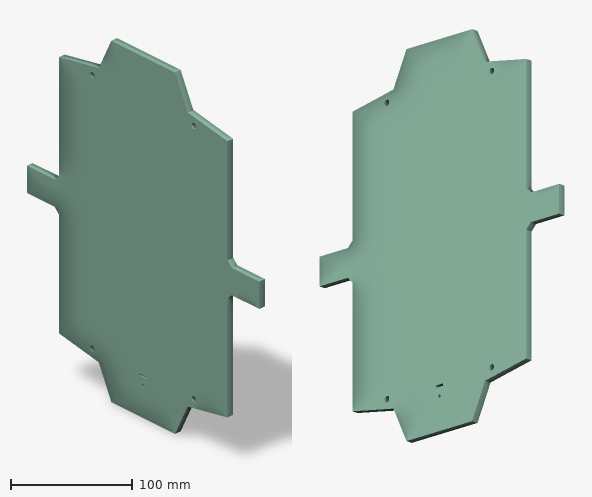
import cadquery as cq

length = 340.0
thickness = 6.5
half_length = length / 2

body_half_width = 100.0
shoulder_z = 130.0
neck_half_width = 52.7
neck_z = 138.5
end_half_width = 37.7

tab_tip_x = 275.5 / 2
tab_half_height = 13.0
tab_chamfer = 5.0

mount_hole_diameter = 5.5
mount_hole_x = 60.2
mount_hole_z = 128.5
slot_width = 8.0
slot_height = 2.0
slot_z = -130.5
pin_hole_diameter = 3.0
pin_hole_z = -139.7


def centred_plate(sketch):
    """Extrude an XZ sketch evenly to both sides of the mid-plane."""
    return sketch.extrude(thickness / 2, both=True)


def make_plate():
    quarter = [
        (end_half_width, half_length),
        (neck_half_width, neck_z),
        (body_half_width, shoulder_z),
        (body_half_width, tab_half_height + tab_chamfer),
        (body_half_width + tab_chamfer, tab_half_height),
        (tab_tip_x, tab_half_height),
    ]
    right_side = quarter + [(x, -z) for x, z in reversed(quarter)]
    left_side = [(-x, z) for x, z in reversed(right_side)]
    return centred_plate(cq.Workplane("XZ").polyline(right_side + left_side).close())


def make_mount_holes():
    pattern = cq.Workplane("XZ").rect(2 * mount_hole_x, 2 * mount_hole_z, forConstruction=True)
    return centred_plate(pattern.vertices().circle(mount_hole_diameter / 2))


def make_slot():
    return centred_plate(cq.Workplane("XZ").center(0, slot_z).rect(slot_width, slot_height))


def make_pin_hole():
    return centred_plate(cq.Workplane("XZ").center(0, pin_hole_z).circle(pin_hole_diameter / 2))


result = make_plate().cut(make_mount_holes()).cut(make_slot()).cut(make_pin_hole())